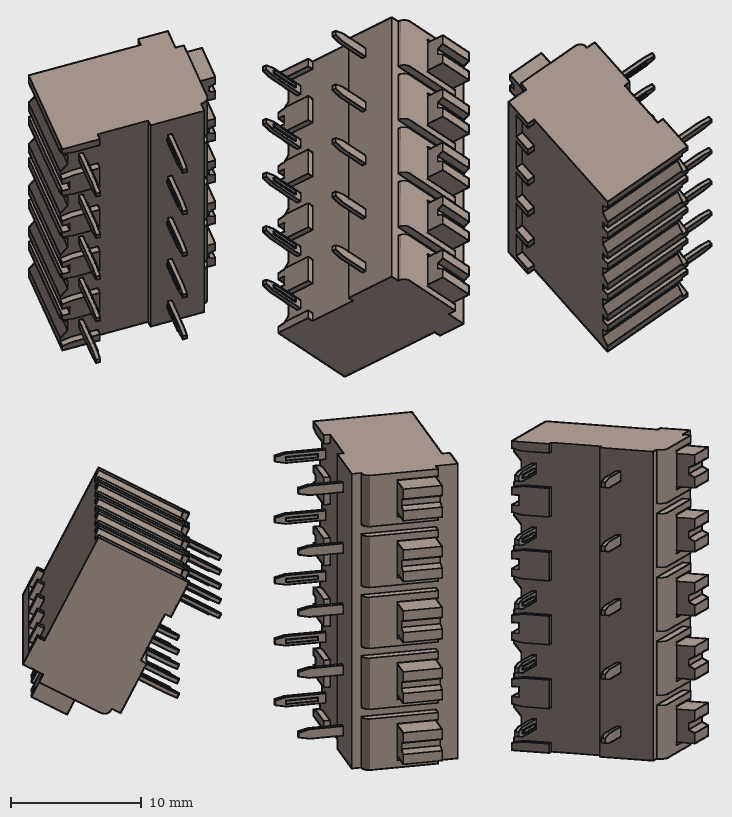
import cadquery as cq

POLE_COUNT = 5
TOTAL_HEIGHT = 24.2
POLE_GAP = 0.8
PITCH = (TOTAL_HEIGHT + POLE_GAP) / POLE_COUNT
POLE_HEIGHT = PITCH - POLE_GAP

BODY_LEFT = 0.6
BODY_RIGHT = 8.4
RECESS_X = 7.9
FOOT_TOP_Y = 3.05
HEAD_BOTTOM_Y = 7.16
HEAD_DRAFT = 0.036
SHOULDER_Y = 11.52
CROWN_Y = 12.2
CROWN_LEFT = 1.75
CROWN_RIGHT = 7.65
CROWN_RADIUS = 0.6

FLANGE_BOTTOM_Y = 10.55
FINGER_BOTTOM_Y = 9.1
END_FINGER_WIDTH = 0.73

GROOVE_DEPTH = 0.6
GROOVE_FLOOR_WIDTH = 1.0
GROOVE_MOUTH_WIDTH = 2.42

CHANNEL_WIDTH = 2.75
CHANNEL_FLARE = 0.17
CHANNEL_FLARE_DEPTH = 0.9

BUTTON_LEFT = 1.82
BUTTON_RIGHT = 4.9
BUTTON_TOP_Y = 13.65
BUTTON_WIDTH = 2.6
BUTTON_CLEARANCE = 0.07
SLOT_CHAMFER_WIDTH = 0.15
SLOT_CHAMFER_DEPTH = 0.3
NOTCH_DEPTH = 0.5
NOTCH_MOUTH_WIDTH = 0.97
NOTCH_FLOOR_WIDTH = 0.48

FRONT_PIN_Y = 1.67
REAR_PIN_Y = 8.7
PIN_TIP_X = 11.9
PIN_TAPER_X = 11.05
PIN_WIDTH = 0.77
PIN_TIP_WIDTH = 0.39
PIN_THICKNESS = 0.35
PIN_EMBEDMENT = 0.48
PIN_RIB_START_X = 8.55
PIN_RIB_WIDTH = 0.27
PIN_RIB_HEIGHT = 0.12


def box(x, y, z):
    """Box spanning the given (low, high) pairs."""
    return (
        cq.Workplane("XY")
        .box(x[1] - x[0], y[1] - y[0], z[1] - z[0], centered=False)
        .translate((x[0], y[0], z[0]))
    )


def centred_span(middle, width):
    return middle - width / 2, middle + width / 2


def prism_along_x(points, x_start, x_end):
    """Prism with a (y, z) outline."""
    return cq.Workplane("YZ", origin=(x_start, 0, 0)).polyline(points).close().extrude(x_end - x_start)


def symmetric_outline(half_profile, middle_z):
    """Closed (y, z) outline from (y, half width) pairs mirrored about middle_z."""
    upper = [(y, middle_z + half) for y, half in half_profile]
    lower = [(y, middle_z - half) for y, half in reversed(half_profile)]
    return upper + lower


def housing_side(bottom_y):
    """Outline from the bottom left corner up the stepped +X side to the shoulder."""
    return (
        cq.Workplane("XY")
        .moveTo(BODY_LEFT, bottom_y)
        .lineTo(BODY_RIGHT, bottom_y)
        .lineTo(BODY_RIGHT, FOOT_TOP_Y)
        .lineTo(RECESS_X, FOOT_TOP_Y)
        .lineTo(RECESS_X, HEAD_BOTTOM_Y - HEAD_DRAFT)
        .lineTo(BODY_RIGHT, HEAD_BOTTOM_Y)
        .lineTo(BODY_RIGHT, SHOULDER_Y)
    )


def core():
    """Full-height block that joins the poles."""
    return housing_side(GROOVE_DEPTH).lineTo(BODY_LEFT, SHOULDER_Y).close().extrude(TOTAL_HEIGHT)


def pole_block(base_z):
    return (
        housing_side(0)
        .lineTo(CROWN_RIGHT, SHOULDER_Y)
        .lineTo(CROWN_RIGHT, CROWN_Y - CROWN_RADIUS)
        .radiusArc((CROWN_RIGHT - CROWN_RADIUS, CROWN_Y), -CROWN_RADIUS)
        .lineTo(CROWN_LEFT, CROWN_Y)
        .lineTo(CROWN_LEFT, SHOULDER_Y)
        .lineTo(BODY_LEFT, SHOULDER_Y)
        .close()
        .extrude(POLE_HEIGHT)
        .translate((0, 0, base_z))
    )


def flange():
    """Bar along the -X side with a finger at each end and over each gap."""
    x_span = (0, BODY_LEFT)
    bar = box(x_span, (FLANGE_BOTTOM_Y, SHOULDER_Y), (0, TOTAL_HEIGHT))
    finger_y = (FINGER_BOTTOM_Y, FLANGE_BOTTOM_Y)
    for end_z in (0, TOTAL_HEIGHT - END_FINGER_WIDTH):
        bar = bar.union(box(x_span, finger_y, (end_z, end_z + END_FINGER_WIDTH)))
    for index in range(1, POLE_COUNT):
        gap_top = index * PITCH
        bar = bar.union(box(x_span, finger_y, (gap_top - POLE_GAP, gap_top)))
    return bar


def groove(middle_z):
    profile = [(0, GROOVE_MOUTH_WIDTH / 2), (GROOVE_DEPTH, GROOVE_FLOOR_WIDTH / 2)]
    return prism_along_x(symmetric_outline(profile, middle_z), BODY_LEFT, BODY_RIGHT)


def pin_channel(middle_z):
    half = CHANNEL_WIDTH / 2
    profile = [(0, half + CHANNEL_FLARE), (CHANNEL_FLARE_DEPTH, half), (FOOT_TOP_Y, half)]
    return prism_along_x(symmetric_outline(profile, middle_z), RECESS_X, BODY_RIGHT)


def button_slot(middle_z):
    half = BUTTON_WIDTH / 2 + BUTTON_CLEARANCE
    profile = [
        (SHOULDER_Y, half),
        (CROWN_Y - SLOT_CHAMFER_DEPTH, half),
        (CROWN_Y, half + SLOT_CHAMFER_WIDTH),
    ]
    slot_right = BUTTON_RIGHT + BUTTON_CLEARANCE
    return prism_along_x(symmetric_outline(profile, middle_z), CROWN_LEFT, slot_right)


def button(middle_z):
    block = box(
        (BUTTON_LEFT, BUTTON_RIGHT),
        (FLANGE_BOTTOM_Y, BUTTON_TOP_Y),
        centred_span(middle_z, BUTTON_WIDTH),
    )
    profile = [
        (BUTTON_TOP_Y, NOTCH_MOUTH_WIDTH / 2),
        (BUTTON_TOP_Y - NOTCH_DEPTH, NOTCH_FLOOR_WIDTH / 2),
    ]
    notch = prism_along_x(symmetric_outline(profile, middle_z), BUTTON_LEFT, BUTTON_RIGHT)
    return block.cut(notch)


def pin(y, rib_side, middle_z):
    """Flat tapered pin with a rib on its +Y (rib_side 1) or -Y (rib_side -1) face."""
    half = PIN_WIDTH / 2
    tip_half = PIN_TIP_WIDTH / 2
    root_x = RECESS_X - PIN_EMBEDMENT
    blade = (
        cq.Workplane("XZ", origin=(0, y + PIN_THICKNESS / 2, middle_z))
        .moveTo(root_x, -half)
        .lineTo(PIN_TAPER_X, -half)
        .lineTo(PIN_TIP_X, -tip_half)
        .lineTo(PIN_TIP_X, tip_half)
        .lineTo(PIN_TAPER_X, half)
        .lineTo(root_x, half)
        .close()
        .extrude(PIN_THICKNESS)
    )
    rib_face = y + rib_side * (PIN_THICKNESS / 2 + PIN_RIB_HEIGHT)
    rib = box(
        (PIN_RIB_START_X, PIN_TAPER_X),
        (min(y, rib_face), max(y, rib_face)),
        centred_span(middle_z, PIN_RIB_WIDTH),
    )
    return blade.union(rib)


result = core().union(flange())
for index in range(POLE_COUNT):
    result = result.union(pole_block(index * PITCH))
for index in range(POLE_COUNT):
    middle_z = index * PITCH + POLE_HEIGHT / 2
    result = result.cut(groove(middle_z)).cut(pin_channel(middle_z)).cut(button_slot(middle_z))
    result = result.union(button(middle_z))
    result = result.union(pin(FRONT_PIN_Y, 1, middle_z)).union(pin(REAR_PIN_Y, -1, middle_z))